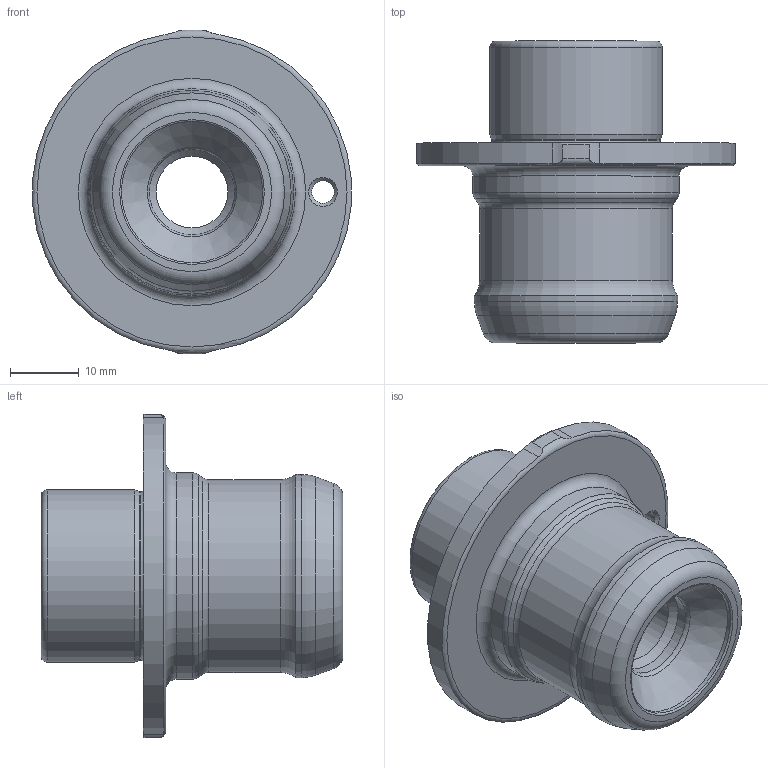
import cadquery as cq
import math


SPIGOT_LENGTH = 14.8
FLANGE_THICKNESS = 3.3
PLUG_LENGTH = 29.0
COLLAR_END = 7.15
BEAD_BLEND_START = 19.95
BEAD_START = 22.15
BEAD_END = 23.0

SPIGOT_RADIUS = 12.5
SPIGOT_END_ROUND = 0.9
UNDERCUT_LENGTH = 1.25
UNDERCUT_DEPTH = 0.25
UNDERCUT_TAPER_LENGTH = 0.75
UNDERCUT_ARC_LENGTH = 0.4
UNDERCUT_ARC_RADIUS = 1.0

FLANGE_RADIUS = 23.2
LUG_RADIUS = 23.5
LUG_HALF_WIDTH = 1.96
LUG_BLEND_RADIUS = 5.0
FLANGE_EDGE_ROUND = 1.0
TRIM_MARGIN = 1.0
LUG_BEVEL_LENGTH = 0.28
LUG_BEVEL_DEPTH = 0.1
PIN_HOLE_RADIUS = 1.65
PIN_HOLE_CHAMFER = 0.45
PIN_HOLE_CHAMFER_ANGLE = 45
PIN_HOLE_X = 19.0

COLLAR_RADIUS = 15.0
COLLAR_ROOT_FILLET = 1.5
PLUG_RADIUS = 14.0
SHOULDER_ANGLE = math.radians(35)
SHOULDER_ROUND = 1.5
BEAD_RADIUS = 14.75
BEAD_ROUND = 6.0
NOSE_ANGLE = math.radians(20)
NOSE_ROUND = 2.0

BORE_RADIUS = 5.2
THROAT_RADIUS = 6.2
THROAT_BACK = 22.05
THROAT_STEP_LENGTH = 1.0
THROAT_EDGE_ROUND = 1.0
FLARE_HALF_ANGLE = math.radians(44)
MOUTH_RADIUS = 10.25
MOUTH_DEPTH = 0.85
MOUTH_EDGE_ROUND = 0.25


def at(radius, forward):
    """Profile point at a radius from the axis and a distance forward of the flange's back face."""
    return (-forward, radius)


def revolve(profile):
    """Close a half profile and turn it a full circle about the Y axis."""
    return profile.close().revolve(360, (0, 0, 0), (1, 0, 0))


def make_body():
    undercut_radius = SPIGOT_RADIUS - UNDERCUT_DEPTH
    undercut_arc_rise = UNDERCUT_ARC_RADIUS - math.sqrt(UNDERCUT_ARC_RADIUS**2 - UNDERCUT_ARC_LENGTH**2)

    round_length = SHOULDER_ROUND * math.sin(SHOULDER_ANGLE)
    round_drop = SHOULDER_ROUND * (1 - math.cos(SHOULDER_ANGLE))
    slope_drop = COLLAR_RADIUS - PLUG_RADIUS - 2 * round_drop
    slope_start = COLLAR_END + round_length
    slope_end = slope_start + slope_drop / math.tan(SHOULDER_ANGLE)

    nose_start = BEAD_END + BEAD_ROUND * math.sin(NOSE_ANGLE)
    nose_start_radius = BEAD_RADIUS - BEAD_ROUND * (1 - math.cos(NOSE_ANGLE))
    nose_end = PLUG_LENGTH - NOSE_ROUND * (1 - math.sin(NOSE_ANGLE))
    nose_end_radius = nose_start_radius - (nose_end - nose_start) * math.tan(NOSE_ANGLE)
    face_radius = nose_end_radius - NOSE_ROUND * math.cos(NOSE_ANGLE)

    profile = (
        cq.Workplane("YZ")
        .moveTo(*at(0, -SPIGOT_LENGTH))
        .lineTo(*at(SPIGOT_RADIUS - SPIGOT_END_ROUND, -SPIGOT_LENGTH))
        .tangentArcPoint(at(SPIGOT_RADIUS, SPIGOT_END_ROUND - SPIGOT_LENGTH), relative=False)
        .lineTo(*at(SPIGOT_RADIUS, -UNDERCUT_LENGTH))
        .lineTo(*at(undercut_radius, UNDERCUT_TAPER_LENGTH - UNDERCUT_LENGTH))
        .lineTo(*at(undercut_radius, -UNDERCUT_ARC_LENGTH))
        .tangentArcPoint(at(undercut_radius + undercut_arc_rise, 0), relative=False)
        .lineTo(*at(LUG_RADIUS - LUG_BEVEL_DEPTH, 0))
        .lineTo(*at(LUG_RADIUS, LUG_BEVEL_LENGTH))
        .lineTo(*at(LUG_RADIUS, FLANGE_THICKNESS - FLANGE_EDGE_ROUND))
        .tangentArcPoint(at(LUG_RADIUS - FLANGE_EDGE_ROUND, FLANGE_THICKNESS), relative=False)
        .lineTo(*at(COLLAR_RADIUS + COLLAR_ROOT_FILLET, FLANGE_THICKNESS))
        .tangentArcPoint(at(COLLAR_RADIUS, FLANGE_THICKNESS + COLLAR_ROOT_FILLET), relative=False)
        .lineTo(*at(COLLAR_RADIUS, COLLAR_END))
        .tangentArcPoint(at(COLLAR_RADIUS - round_drop, slope_start), relative=False)
        .lineTo(*at(PLUG_RADIUS + round_drop, slope_end))
        .tangentArcPoint(at(PLUG_RADIUS, slope_end + round_length), relative=False)
        .lineTo(*at(PLUG_RADIUS, BEAD_BLEND_START))
        .tangentArcPoint(at(BEAD_RADIUS, BEAD_START), relative=False)
        .lineTo(*at(BEAD_RADIUS, BEAD_END))
        .tangentArcPoint(at(nose_start_radius, nose_start), relative=False)
        .lineTo(*at(nose_end_radius, nose_end))
        .tangentArcPoint(at(face_radius, PLUG_LENGTH), relative=False)
        .lineTo(*at(0, PLUG_LENGTH))
    )
    return revolve(profile)


def make_rim_cutter():
    """Ring that trims the rim to the flange radius but leaves a blended lug at +Z and -Z."""
    blend_centre_distance = FLANGE_RADIUS + LUG_BLEND_RADIUS
    lug_angle = math.asin(LUG_HALF_WIDTH / LUG_RADIUS)
    blend_angle = lug_angle + math.acos(
        (blend_centre_distance**2 + LUG_RADIUS**2 - LUG_BLEND_RADIUS**2)
        / (2 * blend_centre_distance * LUG_RADIUS)
    )
    tangent_x = FLANGE_RADIUS * math.sin(blend_angle)
    tangent_z = FLANGE_RADIUS * math.cos(blend_angle)
    lug_z = LUG_RADIUS * math.cos(lug_angle)
    outside = LUG_RADIUS + TRIM_MARGIN

    mid_angle = (math.pi / 2 + blend_angle) / 2
    mid_point = (FLANGE_RADIUS * math.sin(mid_angle), FLANGE_RADIUS * math.cos(mid_angle))

    quarter = (
        cq.Workplane("XZ")
        .moveTo(FLANGE_RADIUS, 0)
        .threePointArc(mid_point, (tangent_x, tangent_z))
        .tangentArcPoint((LUG_HALF_WIDTH, lug_z), relative=False)
        .lineTo(LUG_HALF_WIDTH, outside)
        .lineTo(outside, outside)
        .lineTo(outside, 0)
        .close()
        .extrude(FLANGE_THICKNESS)
    )
    half = quarter.union(quarter.mirror("XY"))
    return half.union(half.mirror("YZ"))


def make_bore():
    """Through bore with a stepped throat and a flare that opens into a short straight mouth."""
    flare_front = PLUG_LENGTH - MOUTH_DEPTH
    throat_front = flare_front - (MOUTH_RADIUS - THROAT_RADIUS) / math.tan(FLARE_HALF_ANGLE)
    round_tangent = THROAT_EDGE_ROUND * math.tan(FLARE_HALF_ANGLE / 2)
    round_end_radius = THROAT_RADIUS + round_tangent * math.sin(FLARE_HALF_ANGLE)
    round_end = throat_front + round_tangent * math.cos(FLARE_HALF_ANGLE)

    profile = (
        cq.Workplane("YZ")
        .moveTo(*at(0, -SPIGOT_LENGTH))
        .lineTo(*at(BORE_RADIUS, -SPIGOT_LENGTH))
        .lineTo(*at(BORE_RADIUS, THROAT_BACK - THROAT_STEP_LENGTH))
        .lineTo(*at(THROAT_RADIUS, THROAT_BACK))
        .lineTo(*at(THROAT_RADIUS, throat_front - round_tangent))
        .tangentArcPoint(at(round_end_radius, round_end), relative=False)
        .lineTo(*at(MOUTH_RADIUS, flare_front))
        .lineTo(*at(MOUTH_RADIUS, PLUG_LENGTH - MOUTH_EDGE_ROUND))
        .tangentArcPoint(at(MOUTH_RADIUS + MOUTH_EDGE_ROUND, PLUG_LENGTH), relative=False)
        .lineTo(*at(0, PLUG_LENGTH))
    )
    return revolve(profile)


def make_pin_hole():
    """Hole through the flange, chamfered at its front mouth."""
    hole = cq.Workplane("XZ").center(PIN_HOLE_X, 0).circle(PIN_HOLE_RADIUS).extrude(FLANGE_THICKNESS)
    countersink = (
        cq.Workplane("XZ", origin=(0, -FLANGE_THICKNESS, 0))
        .center(PIN_HOLE_X, 0)
        .circle(PIN_HOLE_RADIUS + PIN_HOLE_CHAMFER)
        .extrude(-PIN_HOLE_CHAMFER, taper=PIN_HOLE_CHAMFER_ANGLE)
    )
    return hole.union(countersink)


result = make_body().cut(make_rim_cutter()).cut(make_bore()).cut(make_pin_hole())